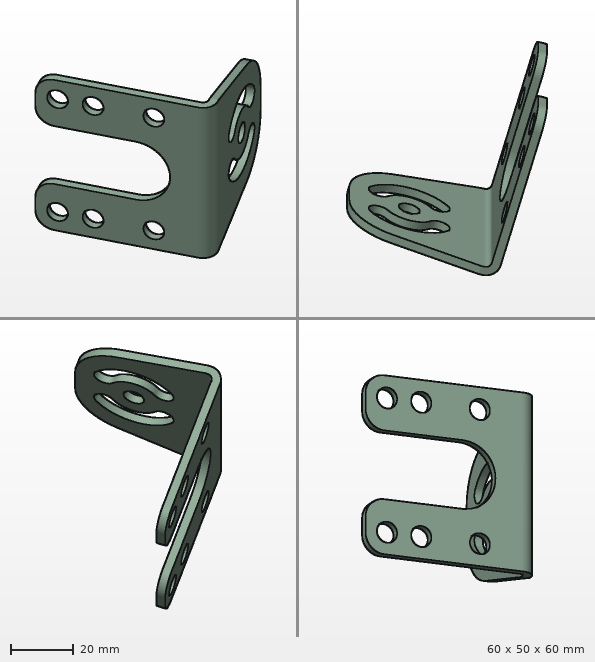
import cadquery as cq
import math

WIDTH = 60.0
HEIGHT = 60.0
DEPTH = 50.0
THICKNESS = 3.0
BEND_INNER_RADIUS = 2.0

HOLE_DIAMETER = 7.0

FORK_CORNER_RADIUS = 6.5
FORK_SLOT_WIDTH = 23.05
FORK_SLOT_DEPTH = 45.5
FORK_HOLE_X = (7.5, 19.5, 40.0)
FORK_HOLE_EDGE_DISTANCE = 7.5

TAPER_START_Y = 6.0
TAPER_END_HALF_HEIGHT = 20.0
END_CORNER_RADIUS = 18.6
PIVOT_Y = 30.0
ARC_SLOT_RADIUS = 12.5
ARC_SLOT_WIDTH = HOLE_DIAMETER
ARC_SLOT_END_OFFSET_Y = 10.0


def bent_sheet():
    """L-shaped sheet with concentric inner and outer bend radii."""
    inner_x = WIDTH - THICKNESS
    sheet = (
        cq.Workplane("XY")
        .moveTo(0, 0)
        .lineTo(WIDTH, 0)
        .lineTo(WIDTH, DEPTH)
        .lineTo(inner_x, DEPTH)
        .lineTo(inner_x, THICKNESS)
        .lineTo(0, THICKNESS)
        .close()
        .extrude(HEIGHT / 2, both=True)
    )
    inner_edge = cq.selectors.NearestToPointSelector((inner_x, THICKNESS, 0))
    outer_edge = cq.selectors.NearestToPointSelector((WIDTH, 0, 0))
    sheet = sheet.edges("|Z").edges(inner_edge).fillet(BEND_INNER_RADIUS)
    return sheet.edges("|Z").edges(outer_edge).fillet(BEND_INNER_RADIUS + THICKNESS)


def fork_envelope():
    """Fork outline, extruded through the full depth so it trims only the forked plate."""
    half_slot = FORK_SLOT_WIDTH / 2
    slot_arc_x = FORK_SLOT_DEPTH - half_slot
    outline = (
        cq.Workplane("XZ")
        .moveTo(0, half_slot)
        .lineTo(slot_arc_x, half_slot)
        .threePointArc((FORK_SLOT_DEPTH, 0), (slot_arc_x, -half_slot))
        .lineTo(0, -half_slot)
        .lineTo(0, -HEIGHT / 2)
        .lineTo(WIDTH, -HEIGHT / 2)
        .lineTo(WIDTH, HEIGHT / 2)
        .lineTo(0, HEIGHT / 2)
        .close()
        .extrude(-DEPTH)
    )
    return outline.edges("|Y and <X").fillet(FORK_CORNER_RADIUS)


def fork_holes():
    """Two mirrored rows of mounting holes along the fork arms."""
    row_z = HEIGHT / 2 - FORK_HOLE_EDGE_DISTANCE
    centers = [(x, z) for x in FORK_HOLE_X for z in (-row_z, row_z)]
    return cq.Workplane("XZ").pushPoints(centers).circle(HOLE_DIAMETER / 2).extrude(-THICKNESS)


def taper_envelope():
    """Tapered outline with rounded end corners, extruded through the full width."""
    outline = (
        cq.Workplane("YZ")
        .moveTo(0, -HEIGHT / 2)
        .lineTo(TAPER_START_Y, -HEIGHT / 2)
        .lineTo(DEPTH, -TAPER_END_HALF_HEIGHT)
        .lineTo(DEPTH, TAPER_END_HALF_HEIGHT)
        .lineTo(TAPER_START_Y, HEIGHT / 2)
        .lineTo(0, HEIGHT / 2)
        .close()
        .extrude(WIDTH)
    )
    return outline.edges("|X and >Y").fillet(END_CORNER_RADIUS)


def arc_slot(side):
    """Round-ended slot concentric with the pivot; side is +1 (upper) or -1 (lower)."""
    end_angle = math.acos(ARC_SLOT_END_OFFSET_Y / ARC_SLOT_RADIUS)
    end_radius = ARC_SLOT_WIDTH / 2
    outer = ARC_SLOT_RADIUS + end_radius
    inner = ARC_SLOT_RADIUS - end_radius
    end_rise = ARC_SLOT_RADIUS * math.sin(end_angle)
    cap_y = ARC_SLOT_END_OFFSET_Y + end_radius * math.sin(end_angle)
    cap_z = side * (end_rise - end_radius * math.cos(end_angle))

    def end_point(radius, direction):
        return PIVOT_Y + direction * radius * math.cos(end_angle), side * radius * math.sin(end_angle)

    return (
        cq.Workplane("YZ", origin=(WIDTH - THICKNESS, 0, 0))
        .moveTo(*end_point(outer, 1))
        .threePointArc((PIVOT_Y, side * outer), end_point(outer, -1))
        .threePointArc((PIVOT_Y - cap_y, cap_z), end_point(inner, -1))
        .threePointArc((PIVOT_Y, side * inner), end_point(inner, 1))
        .threePointArc((PIVOT_Y + cap_y, cap_z), end_point(outer, 1))
        .close()
        .extrude(THICKNESS)
    )


def pivot_hole():
    """Hole at the common centre of the two arc slots."""
    plane = cq.Workplane("YZ", origin=(WIDTH - THICKNESS, 0, 0))
    return plane.center(PIVOT_Y, 0).circle(HOLE_DIAMETER / 2).extrude(THICKNESS)


result = bent_sheet().intersect(fork_envelope()).intersect(taper_envelope())
result = result.cut(fork_holes()).cut(pivot_hole())
for slot_side in (1, -1):
    result = result.cut(arc_slot(slot_side))